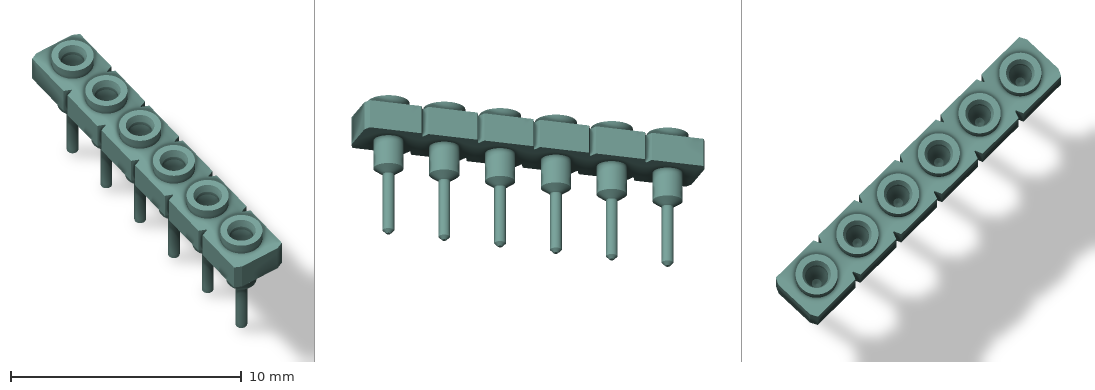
import cadquery as cq

pin_count = 6
pitch = 2.54
housing_length = 15.47
housing_width = 2.54
housing_height = 1.27

notch_half_width = 0.15
notch_depth = 0.32
notch_floor_width = 0.05

flange_diameter = 1.83
flange_height = 0.5
barrel_diameter = 1.31
barrel_drop = 1.3
taper_height = 0.28
leg_diameter = 0.51
tip_chamfer = 0.15
total_height = 6.1

mouth_diameter = 1.24
mouth_depth = 0.31
bore_diameter = 1.0
bore_depth = 0.48
funnel_diameter = 0.42
funnel_depth = 1.4
socket_depth = 1.55

flange_top = housing_height + flange_height
barrel_bottom = -barrel_drop
taper_bottom = barrel_bottom - taper_height
tip_bottom = flange_top - total_height

pin_positions = [(i - (pin_count - 1) / 2) * pitch for i in range(pin_count)]
notch_positions = [x + pitch / 2 for x in pin_positions[:-1]]


def make_housing():
    """Bar with notched long sides, cut corners and one through hole per pin."""
    half_length = housing_length / 2
    half_width = housing_width / 2
    notch_floor = half_width - notch_depth
    shoulder = half_length - notch_half_width

    front_side = [(-half_length, -notch_floor), (-shoulder, -half_width)]
    for x in notch_positions:
        front_side += [
            (x - notch_half_width, -half_width),
            (x - notch_floor_width / 2, -notch_floor),
            (x + notch_floor_width / 2, -notch_floor),
            (x + notch_half_width, -half_width),
        ]
    front_side += [(shoulder, -half_width), (half_length, -notch_floor)]
    back_side = [(-x, -y) for x, y in front_side]

    bar = cq.Workplane("XY").polyline(front_side + back_side).close().extrude(housing_height)
    holes = (
        cq.Workplane("XY")
        .pushPoints([(x, 0) for x in pin_positions])
        .circle(barrel_diameter / 2)
        .extrude(housing_height)
    )
    return bar.cut(holes)


def make_pin(x):
    """Turned socket pin whose flange rests on top of the housing."""
    profile = [
        (0, tip_bottom),
        (leg_diameter / 2 - tip_chamfer, tip_bottom),
        (leg_diameter / 2, tip_bottom + tip_chamfer),
        (leg_diameter / 2, taper_bottom),
        (barrel_diameter / 2, barrel_bottom),
        (barrel_diameter / 2, housing_height),
        (flange_diameter / 2, housing_height),
        (flange_diameter / 2, flange_top),
        (mouth_diameter / 2, flange_top),
        (bore_diameter / 2, flange_top - mouth_depth),
        (bore_diameter / 2, flange_top - bore_depth),
        (funnel_diameter / 2, flange_top - funnel_depth),
        (0, flange_top - socket_depth),
    ]
    axis_start = (0, 0)
    axis_end = (0, 1)
    pin = cq.Workplane("XZ").polyline(profile).close().revolve(360, axis_start, axis_end)
    return pin.translate((x, 0, 0))


housing = make_housing()
pins = [make_pin(x) for x in pin_positions]

result = cq.Compound.makeCompound([housing.val(), *[pin.val() for pin in pins]])